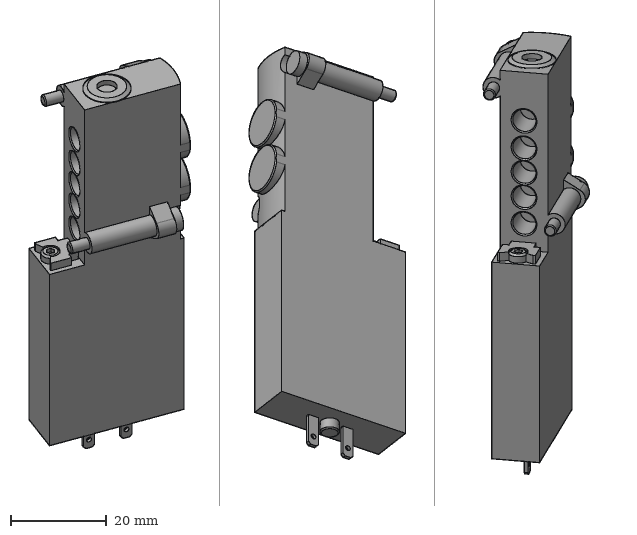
import cadquery as cq
import math

overall_height = 91.5
overall_width = 19.5
width = 10.25
half_width = width / 2
back_y = 30.9
housing_height = 44.1
body_top = 84.0
body_front_y = 8.05
crown_rise = 0.8

port_heights = (50.05, 56.0, 61.5, 67.0, 73.1)
port_radius = 2.5
port_depth = 7.3
port_mouth_radius = 2.7
port_mouth_depth = 0.3

button_heights = (56.4, 67.3)
button_radius = 5.2
button_back_y = 32.5
button_length = 5.5
button_chamfer = 0.3

axis_y = 15.6
cap_height = 0.5
cap_pit_depth = 0.2
cap_base_radius = 5.0
cap_top_radius = 4.1
cap_hole_radius = 2.1
cap_hole_depth = 1.2

screw_x = 6.5
screw_heights = {-1: 80.0, 1: 50.6}
screw_radius = 1.3
screw_tip_y = 3.8
screw_chamfer = 0.3
sleeve_radius = 2.3
head_radius = 2.6
head_back_y = 29.0
ear_front_y = 23.0
ear_back_y = 27.1
ear_radius = 2.3
ear_x = overall_width / 2 - ear_radius
ear_slope = math.radians(30)

plate_height = 1.9
plate_front_y = 0.8
plate_back_y = 7.8
plate_half_width = 4.0
plate_step_y = 5.6
plate_neck_half_width = 2.65
notch_half_width = 3.6
notch_inner_x = 1.65
notch_inner_y = 1.9
notch_mid_x = 2.65
notch_mid_y = 1.3
boss_y = 2.6
boss_radius = 2.0
boss_chamfer = 0.5
socket_corner_diameter = 1.8
socket_depth = 0.9

stub_length = 2.5
stub_radius = 2.0
stub_chamfer = 0.3
blade_length = overall_height - body_top - cap_height
blade_width = 2.6
blade_thickness = 0.8
blade_offset = 4.3
blade_tip_chamfer = 0.55
blade_hole_radius = 0.55
blade_hole_z = -4.9


def cylinder_along_y(x, z, radius, start_y, end_y):
    """Cylinder parallel to Y between two Y positions."""
    plane = cq.Plane(origin=(x, start_y, z), xDir=(1, 0, 0), normal=(0, 1, 0))
    return cq.Workplane(plane).circle(radius).extrude(end_y - start_y)


def make_block():
    housing = cq.Workplane("XY").box(width, back_y, housing_height, centered=(True, False, False))
    body = (
        cq.Workplane("XY")
        .moveTo(-half_width, body_front_y)
        .lineTo(half_width, body_front_y)
        .lineTo(half_width, back_y - crown_rise)
        .threePointArc((0, back_y), (-half_width, back_y - crown_rise))
        .close()
        .extrude(body_top)
    )
    return housing.union(body)


def make_button(z):
    """Round button trimmed to the width of the body."""
    button = cylinder_along_y(0, z, button_radius, button_back_y - button_length, button_back_y)
    button = button.faces(">Y").chamfer(button_chamfer)
    trim = cq.Workplane("XY").box(width, 2 * button_back_y, 2 * button_radius)
    return button.intersect(trim.translate((0, 0, z)))


def make_port(z):
    """Straight bore widened at the mouth by a chamfer."""
    plane = cq.Plane(origin=(0, body_front_y, z), xDir=(1, 0, 0), normal=(0, 1, 0))
    mouth = (
        cq.Workplane(plane)
        .circle(port_mouth_radius)
        .workplane(offset=port_mouth_depth)
        .circle(port_radius)
        .loft()
    )
    return mouth.union(cylinder_along_y(0, z, port_radius, body_front_y, body_front_y + port_depth))


def make_cap():
    return (
        cq.Workplane("XY", origin=(0, axis_y, body_top - cap_pit_depth))
        .circle(cap_base_radius)
        .workplane(offset=cap_pit_depth + cap_height)
        .circle(cap_top_radius)
        .loft()
    )


def make_ear(side, z):
    """Rounded ear whose straight flanks run tangentially to the body side."""
    tangent_x = ear_x + ear_radius * math.sin(ear_slope)
    tangent_z = ear_radius * math.cos(ear_slope)
    root_z = tangent_z + (tangent_x - half_width) * math.tan(ear_slope)
    plane = cq.Plane(origin=(0, ear_front_y, z), xDir=(side, 0, 0), normal=(0, 1, 0))
    return (
        cq.Workplane(plane)
        .moveTo(0, root_z)
        .lineTo(half_width, root_z)
        .lineTo(tangent_x, tangent_z)
        .threePointArc((ear_x + ear_radius, 0), (tangent_x, -tangent_z))
        .lineTo(half_width, -root_z)
        .lineTo(0, -root_z)
        .close()
        .extrude(ear_back_y - ear_front_y)
    )


def make_screw(side, z):
    x = side * screw_x
    shank = cylinder_along_y(x, z, screw_radius, screw_tip_y, head_back_y)
    shank = shank.faces("<Y").chamfer(screw_chamfer)
    sleeve = cylinder_along_y(x, z, sleeve_radius, body_front_y, head_back_y)
    head = cylinder_along_y(x, z, head_radius, ear_front_y, head_back_y)
    return shank.union(sleeve).union(head).union(make_ear(side, z))


def make_connector():
    """T-shaped plate, notched in front around a boss with a hexagon socket."""
    plate = (
        cq.Workplane("XY", origin=(0, 0, housing_height))
        .moveTo(0, plate_back_y)
        .lineTo(plate_neck_half_width, plate_back_y)
        .lineTo(plate_neck_half_width, plate_step_y)
        .lineTo(plate_half_width, plate_step_y)
        .lineTo(plate_half_width, plate_front_y)
        .lineTo(notch_half_width, plate_front_y)
        .threePointArc((notch_mid_x, notch_mid_y), (notch_inner_x, notch_inner_y))
        .lineTo(0, notch_inner_y)
        .mirrorY()
        .extrude(plate_height)
    )
    boss_blank = (
        cq.Workplane("XY", origin=(0, boss_y, housing_height))
        .circle(boss_radius)
        .extrude(plate_height)
    )
    boss = boss_blank.faces(">Z").chamfer(boss_chamfer)
    socket = (
        cq.Workplane("XY", origin=(0, boss_y, housing_height + plate_height - socket_depth))
        .transformed(rotate=(0, 0, 90))
        .polygon(6, socket_corner_diameter)
        .extrude(socket_depth)
    )
    return plate.cut(boss_blank).union(boss).cut(socket)


def make_stub():
    return (
        cq.Workplane("XY", origin=(0, axis_y, -stub_length))
        .circle(stub_radius)
        .extrude(stub_length)
        .faces("<Z")
        .chamfer(stub_chamfer)
    )


def make_blade(y):
    return (
        cq.Workplane("XY", origin=(0, y, -blade_length))
        .box(blade_thickness, blade_width, blade_length, centered=(True, True, False))
        .faces("<Z")
        .edges("|X")
        .chamfer(blade_tip_chamfer)
        .cut(
            cq.Workplane("YZ", origin=(-blade_thickness, y, blade_hole_z))
            .circle(blade_hole_radius)
            .extrude(2 * blade_thickness)
        )
    )


result = make_block()

for side, z in screw_heights.items():
    result = result.cut(cylinder_along_y(side * screw_x, z, head_radius, head_back_y, button_back_y))
    result = result.union(make_screw(side, z))

for z in port_heights:
    result = result.cut(make_port(z))

for z in button_heights:
    result = result.union(make_button(z))

cap_pit = (
    cq.Workplane("XY", origin=(0, axis_y, body_top))
    .circle(cap_base_radius)
    .extrude(-cap_pit_depth)
)
cap_hole = (
    cq.Workplane("XY", origin=(0, axis_y, body_top + cap_height))
    .circle(cap_hole_radius)
    .extrude(-cap_hole_depth)
)
result = result.cut(cap_pit).union(make_cap()).cut(cap_hole)

result = result.union(make_connector()).union(make_stub())
for direction in (-1, 1):
    result = result.union(make_blade(axis_y + direction * blade_offset))